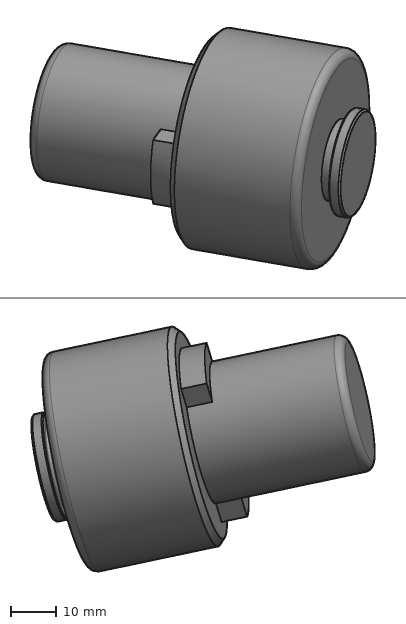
import cadquery as cq

key_start = 30.35
body_start = 36.2
body_end = 66.7
flange_start = 69.35
total_length = 72.1

shaft_diameter = 31.0
body_diameter = 49.8
neck_diameter = 18.5
flange_diameter = 24.45
key_outer_diameter = 40.0

key_width = 16.3

edge_radius = 2.0
body_chamfer = 1.45
neck_fillet = 0.6
flange_inner_chamfer = 0.3
flange_outer_chamfer = 0.4


def cylinder(start, end, diameter):
    """Solid cylinder on the X axis between two stations."""
    return cq.Workplane("YZ", origin=(start, 0, 0)).circle(diameter / 2).extrude(end - start)


def make_keys():
    """Two opposite keys with a round outer face, passing through the shaft."""
    length = body_start - key_start
    bar = cq.Workplane("YZ", origin=(key_start, 0, 0)).rect(key_outer_diameter, key_width).extrude(length)
    return bar.intersect(cylinder(key_start, body_start, key_outer_diameter))


shaft = cylinder(0, body_start, shaft_diameter).faces("<X").edges().fillet(edge_radius)

body = cylinder(body_start, body_end, body_diameter)
body = body.faces("<X").edges().chamfer(body_chamfer)
body = body.faces(">X").edges().fillet(edge_radius)

flange = cylinder(flange_start, total_length, flange_diameter)
flange = flange.faces("<X").edges().chamfer(flange_inner_chamfer)
flange = flange.faces(">X").edges().chamfer(flange_outer_chamfer)
neck = cylinder(body_end, flange_start, neck_diameter)

neck_and_flange = neck.union(flange)
inner_corner = cq.selectors.RadiusNthSelector(0)
neck_and_flange = neck_and_flange.faces("<X[1]").edges(inner_corner).fillet(neck_fillet)

result = shaft.union(make_keys()).union(body).union(neck_and_flange)